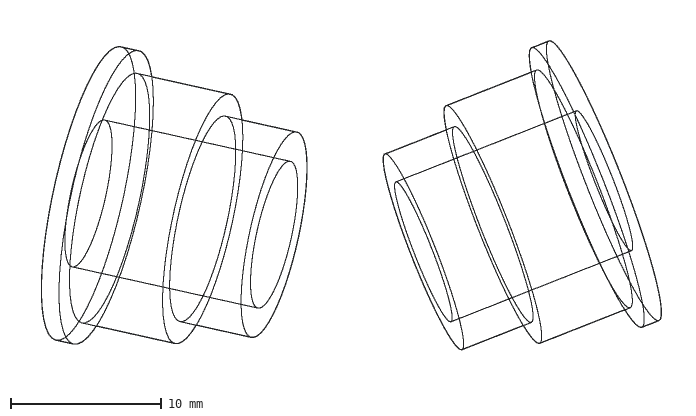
import cadquery as cq

flange_diameter = 20.0
body_diameter = 17.0
spigot_diameter = 14.0
bore_diameter = 10.0
flange_rim_width = 1.25
flange_taper_width = 0.25
body_end = 8.0
total_length = 13.0

flange_radius = flange_diameter / 2
body_radius = body_diameter / 2
spigot_radius = spigot_diameter / 2
bore_radius = bore_diameter / 2
taper_end = flange_rim_width + flange_taper_width

half_section = (
    cq.Workplane("XY")
    .moveTo(0, bore_radius)
    .lineTo(0, flange_radius)
    .lineTo(flange_rim_width, flange_radius)
    .lineTo(taper_end, body_radius)
    .lineTo(body_end, body_radius)
    .lineTo(body_end, spigot_radius)
    .lineTo(total_length, spigot_radius)
    .lineTo(total_length, bore_radius)
    .close()
)

result = half_section.revolve(360, (0, 0, 0), (1, 0, 0))